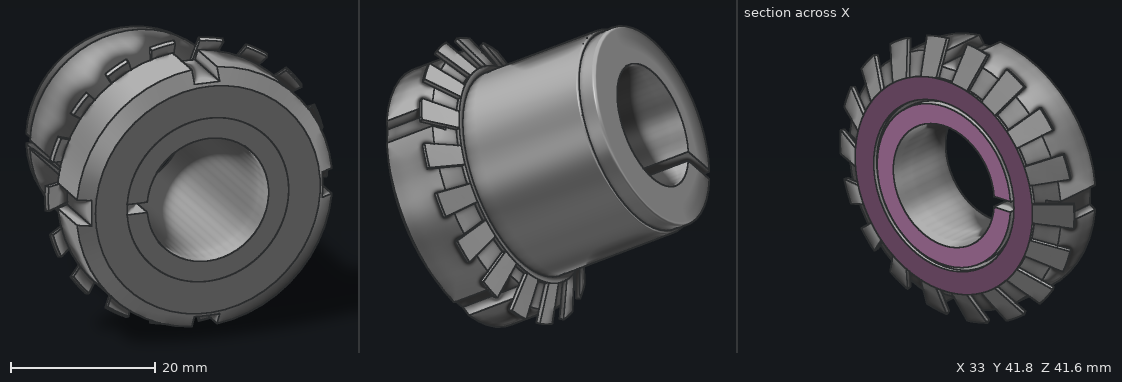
import cadquery as cq
import math

TOTAL_LENGTH = 33.0
BORE_DIAMETER = 17.95

CONE_LARGE_RADIUS = 14.62
TAPER_ON_DIAMETER = 1 / 12
END_ROUND = 0.45
SHANK_RADIUS = 23.9 / 2
SLEEVE_SLIT = 1.5

OUTER_RADIUS = 14.95
OUTER_START = 2.65
OUTER_EDGE_ROUND = 0.25
OUTER_SLIT = 1.3

WASHER_FACE = 21.6
WASHER_THICKNESS = 0.63
WASHER_BORE_RADIUS = 25.0 / 2
WASHER_FOLD_RADIUS = 15.88
TOOTH_TIP_RADIUS = 20.9
TOOTH_COUNT = 18
TOOTH_ROOT_WIDTH = 2.8
TOOTH_TIP_WIDTH = 3.65

CONE_ANGLE = math.radians(60)
NUT_RADIUS = 18.93
NUT_BACK_CHAMFER = 1.35
SLOT_WIDTH = 3.7
SLOT_FLOOR_RADIUS = 17.05
SLOT_COUNT = 4

NUT_FACE = WASHER_FACE + WASHER_THICKNESS
CONE_SLOPE = math.tan(CONE_ANGLE)
FOLD_INSET = WASHER_THICKNESS * math.tan((math.pi / 2 - CONE_ANGLE) / 2)
NUT_FACE_RADIUS = WASHER_FOLD_RADIUS - FOLD_INSET


def cone_radius(x):
    """Radius of the tapered fit at position x along the axis."""
    return CONE_LARGE_RADIUS - x * TAPER_ON_DIAMETER / 2


def turned(points):
    """Solid of revolution about X from a closed outline of (x, radius) points."""
    outline = cq.Workplane("XY").polyline([(x, -radius) for x, radius in points]).close()
    return outline.revolve(360, (0, 0, 0), (1, 0, 0))


def lengthwise_cutter(width, floor_radius):
    """Bar along the whole length that cuts outwards through the -Y side from the floor radius."""
    depth = NUT_RADIUS
    bar = cq.Workplane("XY").box(TOTAL_LENGTH, depth, width, centered=(False, False, True))
    return bar.translate((0, -floor_radius - depth, 0))


def slit(width):
    """Cutter for a slit that opens the wall of a sleeve on the -Y side only."""
    return lengthwise_cutter(width, 0)


def round_outer_end(body, radius):
    """Fillet the outer edge of the body's -X end face."""
    outer_edge = cq.selectors.RadiusNthSelector(-1)
    return body.faces("<X").edges(outer_edge).fillet(radius)


def make_tapered_sleeve():
    bore_radius = BORE_DIAMETER / 2
    body = turned([
        (0, bore_radius),
        (0, cone_radius(0)),
        (WASHER_FACE, cone_radius(WASHER_FACE)),
        (WASHER_FACE, SHANK_RADIUS),
        (TOTAL_LENGTH, SHANK_RADIUS),
        (TOTAL_LENGTH, bore_radius),
    ])
    body = round_outer_end(body, END_ROUND)
    return body.cut(slit(SLEEVE_SLIT))


def make_outer_sleeve():
    body = turned([
        (OUTER_START, cone_radius(OUTER_START)),
        (OUTER_START, OUTER_RADIUS),
        (WASHER_FACE, OUTER_RADIUS),
        (WASHER_FACE, cone_radius(WASHER_FACE)),
    ])
    body = round_outer_end(body, OUTER_EDGE_ROUND)
    return body.cut(slit(OUTER_SLIT))


def make_tooth_ring():
    """Unbroken folded rim that the teeth are cut from."""
    fold_depth = (TOOTH_TIP_RADIUS - WASHER_FOLD_RADIUS) / CONE_SLOPE
    tip_x = WASHER_FACE + fold_depth
    return turned([
        (WASHER_FACE, WASHER_FOLD_RADIUS),
        (tip_x, TOOTH_TIP_RADIUS),
        (
            tip_x + WASHER_THICKNESS * math.sin(CONE_ANGLE),
            TOOTH_TIP_RADIUS - WASHER_THICKNESS * math.cos(CONE_ANGLE),
        ),
        (NUT_FACE, NUT_FACE_RADIUS),
    ])


def make_tooth_wedges():
    """Trapezoid prisms along X, widening outwards, that each keep one tooth of the rim."""
    flare = (TOOTH_TIP_WIDTH - TOOTH_ROOT_WIDTH) / (TOOTH_TIP_RADIUS - WASHER_FOLD_RADIUS)
    inner_radius = WASHER_FOLD_RADIUS - WASHER_THICKNESS
    outer_radius = TOOTH_TIP_RADIUS + WASHER_THICKNESS
    half_inner = (TOOTH_ROOT_WIDTH - flare * WASHER_THICKNESS) / 2
    half_outer = (TOOTH_TIP_WIDTH + flare * WASHER_THICKNESS) / 2
    outline = cq.Workplane("YZ").polyline([
        (inner_radius, -half_inner),
        (outer_radius, -half_outer),
        (outer_radius, half_outer),
        (inner_radius, half_inner),
    ]).close()
    wedge = outline.extrude(TOTAL_LENGTH)
    pitch = 360 / TOOTH_COUNT
    return [wedge.rotate((0, 0, 0), (1, 0, 0), index * pitch) for index in range(TOOTH_COUNT)]


def make_lock_washer():
    washer = turned([
        (WASHER_FACE, WASHER_BORE_RADIUS),
        (WASHER_FACE, WASHER_FOLD_RADIUS),
        (NUT_FACE, NUT_FACE_RADIUS),
        (NUT_FACE, WASHER_BORE_RADIUS),
    ])
    tooth_ring = make_tooth_ring()
    for wedge in make_tooth_wedges():
        washer = washer.union(tooth_ring.intersect(wedge))
    return washer


def make_nut():
    lead_in = WASHER_BORE_RADIUS - SHANK_RADIUS
    fold_cone_length = (NUT_RADIUS - NUT_FACE_RADIUS) / CONE_SLOPE
    nut = turned([
        (NUT_FACE, WASHER_BORE_RADIUS),
        (NUT_FACE, NUT_FACE_RADIUS),
        (NUT_FACE + fold_cone_length, NUT_RADIUS),
        (TOTAL_LENGTH - NUT_BACK_CHAMFER, NUT_RADIUS),
        (TOTAL_LENGTH, NUT_RADIUS - NUT_BACK_CHAMFER * CONE_SLOPE),
        (TOTAL_LENGTH, SHANK_RADIUS),
        (NUT_FACE + lead_in, SHANK_RADIUS),
    ])
    slot = lengthwise_cutter(SLOT_WIDTH, SLOT_FLOOR_RADIUS)
    for index in range(SLOT_COUNT):
        nut = nut.cut(slot.rotate((0, 0, 0), (1, 0, 0), index * 360 / SLOT_COUNT))
    return nut


tapered_sleeve = make_tapered_sleeve()
outer_sleeve = make_outer_sleeve()
lock_washer = make_lock_washer()
nut = make_nut()

result = cq.Compound.makeCompound([
    tapered_sleeve.val(),
    outer_sleeve.val(),
    lock_washer.val(),
    nut.val(),
])